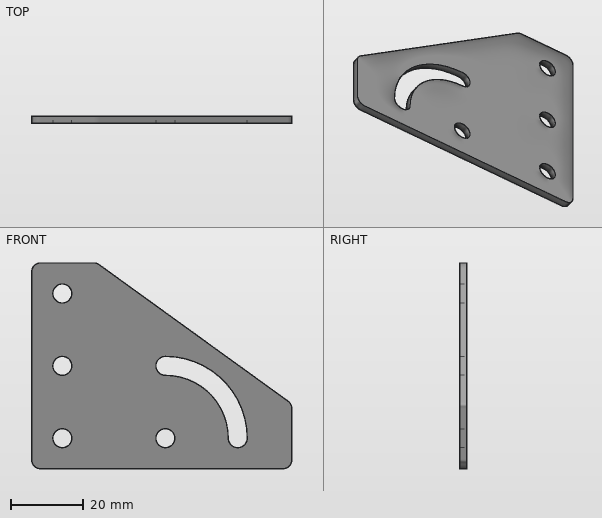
import cadquery as cq

width = 72.0
height = 57.0
thickness = 2.0
top_edge_length = 18.0
right_edge_height = 18.0
corner_radius = 2.5

hole_diameter = 5.2
edge_margin = 8.5
hole_pitch = 20.0
pivot_x = 37.0
slot_radius = hole_pitch
slot_width = hole_diameter


def make_plate():
    """Rectangular plate with a sloped upper right side and rounded corners."""
    outline = [
        (0, 0),
        (width, 0),
        (width, right_edge_height),
        (top_edge_length, height),
        (0, height),
    ]
    plate = cq.Workplane("XZ").polyline(outline).close().extrude(-thickness)
    return plate.edges("|Y").fillet(corner_radius)


def make_holes():
    """A column of three holes near the left edge, plus the pivot hole."""
    centers = [(edge_margin, edge_margin + i * hole_pitch) for i in range(3)]
    centers.append((pivot_x, edge_margin))
    return cq.Workplane("XZ").pushPoints(centers).circle(hole_diameter / 2).extrude(-thickness)


def make_slot():
    """Quarter-circle slot with round ends, centered on the pivot hole."""
    half_width = slot_width / 2
    outer = slot_radius + half_width
    inner = slot_radius - half_width
    diagonal = 0.5 ** 0.5
    return (
        cq.Workplane("XZ", origin=(pivot_x, 0, edge_margin))
        .moveTo(outer, 0)
        .threePointArc((outer * diagonal, outer * diagonal), (0, outer))
        .threePointArc((-half_width, slot_radius), (0, inner))
        .threePointArc((inner * diagonal, inner * diagonal), (inner, 0))
        .threePointArc((slot_radius, -half_width), (outer, 0))
        .close()
        .extrude(-thickness)
    )


result = make_plate().cut(make_holes()).cut(make_slot())